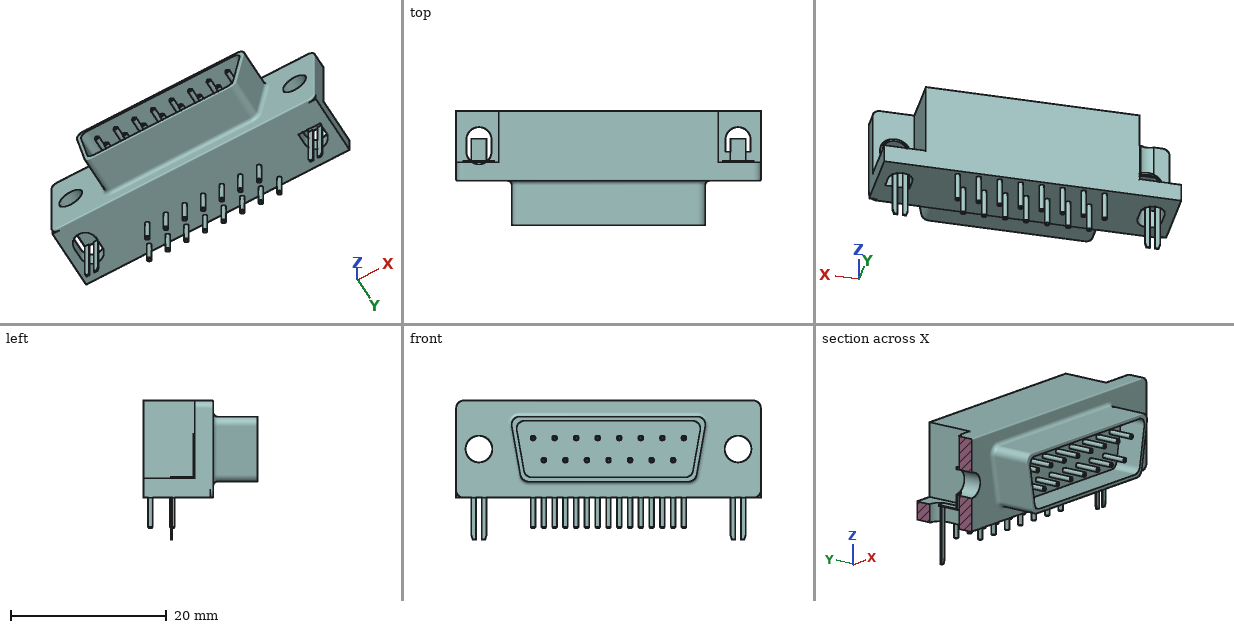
import cadquery as cq
import math


WIDTH = 39.2
HEIGHT = 12.5
DEPTH = 9.0
PLATE_THICKNESS = 0.4
FLANGE_BACK_Y = 2.4
BLOCK_WIDTH = 28.2
LEDGE_HEIGHT = 2.5
CORNER_RADIUS = 1.0
PLATE_EDGE_RADIUS = 0.2
MID_Z = HEIGHT / 2

MOUNT_SPACING = 33.3
MOUNT_XS = (-MOUNT_SPACING / 2, MOUNT_SPACING / 2)
MOUNT_HOLE_DIAMETER = 3.4
SLOT_WIDTH = 3.2
SLOT_REAR_CENTRE_Y = 5.3
SLOT_FRONT_CENTRE_Y = 3.75

SHELL_WIDTH = 24.9
SHELL_HEIGHT = 8.36
SHELL_LENGTH = 5.7
SHELL_WALL = 0.55
SHELL_FLOOR_Y = -1.9
SHELL_CORNER_RADIUS = 1.05
CAVITY_CORNER_RADIUS = 1.0
SHELL_SIDE_ANGLE = 10
SHELL_ROOT_RADIUS = 0.55
SHELL_RIM_RADIUS = 0.1

PIN_DIAMETER = 0.64
PIN_CHAMFER = 0.15
PIN_PITCH = 2.77
ROW_SPACING = 2.84
UPPER_ROW_COUNT = 8
LOWER_ROW_COUNT = 7
PIN_TIP_Y = -5.4
TAIL_LENGTH = 3.9
TAIL_ROOT_DEPTH = 1.0
UPPER_TAIL_Y = 8.1
LOWER_TAIL_Y = UPPER_TAIL_Y - ROW_SPACING

CLIP_THICKNESS = 0.2
CLIP_DISC_DIAMETER = 4.0
CLIP_WIDTH = 2.0
LEG_WIDTH = 0.65
LEG_LENGTH = 5.4
LEG_REAR_Y = 5.45
LEG_TIP_TAPER = 0.2
LEG_TIP_LENGTH = 0.6


def box(x_min, x_max, y_min, y_max, z_min, z_max):
    """Axis-aligned box between the given limits."""
    size = (x_max - x_min, y_max - y_min, z_max - z_min)
    return cq.Workplane("XY").box(*size, centered=False).translate((x_min, y_min, z_min))


def cylinder_y(x, z, diameter, y_min, y_max):
    """Cylinder along Y."""
    plane = cq.Workplane("XZ", origin=(x, y_max, z))
    return plane.circle(diameter / 2).extrude(y_max - y_min)


def make_housing():
    """L-ended moulding: centre block, front flange and a low ledge at each end."""
    half = WIDTH / 2
    block = box(-BLOCK_WIDTH / 2, BLOCK_WIDTH / 2, PLATE_THICKNESS, DEPTH, 0, HEIGHT)
    ledge = box(-half, half, PLATE_THICKNESS, DEPTH, 0, LEDGE_HEIGHT)
    flange = box(-half, half, PLATE_THICKNESS, FLANGE_BACK_Y, 0, HEIGHT)
    flange = flange.edges("|Y and >Z").fillet(CORNER_RADIUS)
    return block.union(ledge).union(flange)


def make_plate():
    """Metal face plate with rounded corners and a rounded front edge."""
    plate = box(-WIDTH / 2, WIDTH / 2, 0, PLATE_THICKNESS, 0, HEIGHT)
    plate = plate.edges("|Y").fillet(CORNER_RADIUS)
    return plate.faces("<Y").edges().fillet(PLATE_EDGE_RADIUS)


def shell_prism(inset, corner_radius, y_min, y_max):
    """Rounded D-shaped prism, set in from the shell outline by inset on every side."""
    angle = math.radians(SHELL_SIDE_ANGLE)
    corner_reach = (1 + math.sin(angle)) / math.cos(angle)
    half_height = SHELL_HEIGHT / 2 - inset
    fillet_centre_x = SHELL_WIDTH / 2 - SHELL_CORNER_RADIUS
    top_half = fillet_centre_x + (SHELL_CORNER_RADIUS - inset) * corner_reach
    bottom_half = top_half - 2 * half_height * math.tan(angle)
    corners = [
        (-top_half, half_height),
        (top_half, half_height),
        (bottom_half, -half_height),
        (-bottom_half, -half_height),
    ]
    plane = cq.Workplane("XZ", origin=(0, y_max, MID_Z))
    prism = plane.polyline(corners).close().extrude(y_max - y_min)
    return prism.edges("|Y").fillet(corner_radius)


def add_shell(plate):
    """Join the hollow shell to the face plate, with a flared root and a rounded rim."""
    outer = shell_prism(0, SHELL_CORNER_RADIUS, -SHELL_LENGTH, PLATE_THICKNESS)
    outer = outer.faces("<Y").edges().fillet(SHELL_RIM_RADIUS)
    front = plate.union(outer)
    margin = SHELL_ROOT_RADIUS / 2
    root_box = cq.selectors.BoxSelector(
        (-SHELL_WIDTH / 2 - margin, -margin, MID_Z - SHELL_HEIGHT / 2 - margin),
        (SHELL_WIDTH / 2 + margin, margin, MID_Z + SHELL_HEIGHT / 2 + margin),
    )
    front = front.edges(root_box).fillet(SHELL_ROOT_RADIUS)
    return front.cut(shell_prism(SHELL_WALL, CAVITY_CORNER_RADIUS, -SHELL_LENGTH, SHELL_FLOOR_Y))


def cut_mounts(body):
    """Cut the mounting holes, the closed left slot and the flat-fronted right slot."""
    slot_length = SLOT_REAR_CENTRE_Y - SLOT_FRONT_CENTRE_Y
    for x in MOUNT_XS:
        rear = cq.Workplane("XY").center(x, SLOT_REAR_CENTRE_Y).circle(SLOT_WIDTH / 2).extrude(HEIGHT)
        straight = cq.Workplane("XY").center(x, SLOT_REAR_CENTRE_Y - slot_length / 2)
        straight = straight.rect(SLOT_WIDTH, slot_length).extrude(HEIGHT)
        body = body.cut(rear).cut(straight)
        body = body.cut(cylinder_y(x, MID_Z, MOUNT_HOLE_DIAMETER, 0, FLANGE_BACK_Y))
    left_front = cq.Workplane("XY").center(MOUNT_XS[0], SLOT_FRONT_CENTRE_Y)
    return body.cut(left_front.circle(SLOT_WIDTH / 2).extrude(HEIGHT))


def make_clip(x):
    """Board lock: ring behind the flange, stem, strip along the ledge and two legs."""
    half = CLIP_WIDTH / 2
    back_y = FLANGE_BACK_Y + CLIP_THICKNESS
    top_z = LEDGE_HEIGHT + CLIP_THICKNESS
    disc = cylinder_y(x, MID_Z, CLIP_DISC_DIAMETER, FLANGE_BACK_Y, back_y)
    stem = box(x - half, x + half, FLANGE_BACK_Y, back_y, LEDGE_HEIGHT, MID_Z)
    hole = cylinder_y(x, MID_Z, MOUNT_HOLE_DIAMETER, FLANGE_BACK_Y, back_y)
    strip = box(x - half, x + half, FLANGE_BACK_Y, LEG_REAR_Y, LEDGE_HEIGHT, top_z)
    clip = disc.union(stem).cut(hole).union(strip)
    for side in (-1, 1):
        outer = x + side * half
        inner = outer - side * LEG_WIDTH
        outline = [
            (inner, top_z),
            (outer, top_z),
            (outer, LEG_TIP_LENGTH - LEG_LENGTH),
            (outer - side * LEG_TIP_TAPER, -LEG_LENGTH),
            (inner, -LEG_LENGTH),
        ]
        plane = cq.Workplane("XZ", origin=(0, LEG_REAR_Y, 0))
        clip = clip.union(plane.polyline(outline).close().extrude(CLIP_THICKNESS))
    return clip


def make_contact(x, z, tail_y):
    """Mating pin inside the shell plus its solder tail under the housing."""
    pin = cylinder_y(x, z, PIN_DIAMETER, PIN_TIP_Y, PLATE_THICKNESS)
    pin = pin.faces("<Y").chamfer(PIN_CHAMFER)
    tail = cq.Workplane("XY", origin=(x, tail_y, -TAIL_LENGTH)).circle(PIN_DIAMETER / 2)
    tail = tail.extrude(TAIL_LENGTH + TAIL_ROOT_DEPTH)
    tail = tail.faces("<Z").chamfer(PIN_CHAMFER)
    return [pin, tail]


def add_contacts(body):
    """Add both staggered contact rows; the upper row has the rearmost tails."""
    rows = (
        (UPPER_ROW_COUNT, MID_Z + ROW_SPACING / 2, UPPER_TAIL_Y),
        (LOWER_ROW_COUNT, MID_Z - ROW_SPACING / 2, LOWER_TAIL_Y),
    )
    for count, z, tail_y in rows:
        for index in range(count):
            x = (index - (count - 1) / 2) * PIN_PITCH
            for piece in make_contact(x, z, tail_y):
                body = body.union(piece)
    return body


connector = make_housing().union(add_shell(make_plate()))
connector = cut_mounts(connector)
for mount_x in MOUNT_XS:
    connector = connector.union(make_clip(mount_x))
result = add_contacts(connector)